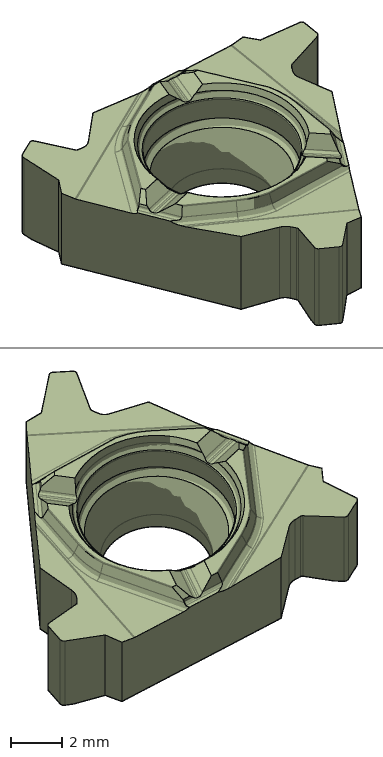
import cadquery as cq
import math

TOOTH_COUNT = 3
TOOTH_PITCH = 360 / TOOTH_COUNT
TOOTH_ANGLES = [index * TOOTH_PITCH for index in range(TOOTH_COUNT)]
NEXT_SIDE_ANGLE = 180 - TOOTH_PITCH
OVERALL_HEIGHT = 4.1

SIDE_DISTANCE = 4.76
TOOTH_X = -3.16
TIP_Y = 6.98
ROOT_Y = 5.23
TIP_HALF_WIDTH = 0.52
FLANK_ANGLE = 14.5
TIP_ROUND = 0.16
ROOT_ROUND = 0.11
SHOULDER_ANGLE = 30
VALLEY_RUN = 0.55
VALLEY_ROUND = 0.57
VALLEY_ANGLE = 15

FLOOR_Z = 3.52
CREASE_Y = 4.28
RAKE_ANGLE = 10.8
CREASE_ROUND = 0.2
RELIEF_LENGTH = 0.49
RELIEF_ANGLE = 11

BOSS_FRONT = 3.68
BOSS_BACK = 3.63
BOSS_BACK_ANGLE = 121.2
BOSS_TAPER = 27.5
BOSS_FOOT_ROUND = 0.33
BOSS_EDGE_ROUND = 0.04

NOTCH_WALL = 4.25
NOTCH_FLOOR_Z = 3.61
NOTCH_ROUND = 0.16
NOTCH_START_Y = -0.27
NOTCH_END_Y = 1.75

BEVEL_START_X = -3.87
BEVEL_ANGLE = 30
BEVEL_START_Y = 1.23
BEVEL_WIDTH = 1.09
BEVEL_LENGTH = 0.68

GROOVE_ANGLE = 166.2
GROOVE_HALF_WIDTH = 0.72
GROOVE_FLOOR_HALF_WIDTH = 0.14
GROOVE_FLOOR_Z = 3.63
GROOVE_ROUND = 0.27
GROOVE_START = 2.05
GROOVE_END = 6.13

BORE_RADIUS = 4.4 / 2
BORE_TOP_Z = 0.75
SEAT_RADIUS = 2.82
SEAT_TOP_Z = 2.35
RECESS_RADIUS = 3.08
RECESS_BOTTOM_Z = 2.6
RECESS_ROUND = 0.41
LEDGE_Z = 3.6
LEDGE_EDGE_ROUND = 0.04
LEDGE_ROUND = 0.34
LIP_FOOT_RADIUS = 3.3
LIP_FOOT_Z = 3.85
LIP_RADIUS = 3.43

REACH = 9.54
BOSS_REACH = 6.13
MARGIN = 0.27
THIN = 0.01


def direction(angle):
    """Unit vector in the XY plane at an angle in degrees."""
    return cq.Vector(math.cos(math.radians(angle)), math.sin(math.radians(angle)))


def tan_deg(angle):
    return math.tan(math.radians(angle))


def turned(points, angle):
    """Points turned about the Z axis."""
    along = direction(angle)
    across = direction(angle + 90)
    return [along * p.x + across * p.y for p in points]


def wall_corner(distance_a, angle_a, distance_b, angle_b):
    """Meeting point of two walls, each given by its distance and facing direction."""
    a = direction(angle_a)
    b = direction(angle_b)
    cross = a.x * b.y - a.y * b.x
    return cq.Vector(
        (distance_a * b.y - distance_b * a.y) / cross,
        (distance_b * a.x - distance_a * b.x) / cross,
    )


def around_axis(shape):
    """The same shape once at every tooth."""
    copies = shape
    for angle in TOOTH_ANGLES[1:]:
        copies = copies.union(shape.rotate((0, 0, 0), (0, 0, 1), angle))
    return copies


def tooth_outline():
    """Corner points of one tooth, from the left side over the tip to the next side."""
    root_half_width = TIP_HALF_WIDTH + (TIP_Y - ROOT_Y) * tan_deg(FLANK_ANGLE)
    left_root = cq.Vector(TOOTH_X - root_half_width, ROOT_Y)
    right_root = cq.Vector(TOOTH_X + root_half_width, ROOT_Y)
    shoulder_drop = (left_root.x + SIDE_DISTANCE) * tan_deg(SHOULDER_ANGLE)
    valley = right_root + direction(-SHOULDER_ANGLE) * VALLEY_RUN
    slope_facing = 90 + VALLEY_ANGLE
    slope_distance = valley.dot(direction(slope_facing))
    return [
        cq.Vector(-SIDE_DISTANCE, ROOT_Y - shoulder_drop),
        left_root,
        cq.Vector(TOOTH_X - TIP_HALF_WIDTH, TIP_Y),
        cq.Vector(TOOTH_X + TIP_HALF_WIDTH, TIP_Y),
        right_root,
        valley,
        wall_corner(slope_distance, slope_facing, SIDE_DISTANCE, NEXT_SIDE_ANGLE),
    ]


def make_blank():
    """Full-height prism with the outline of the insert."""
    tooth = tooth_outline()
    outline = []
    for angle in reversed(TOOTH_ANGLES):
        outline += turned(tooth, angle)
    blank = cq.Workplane("XY").polyline([p.toTuple() for p in outline]).close().extrude(OVERALL_HEIGHT)
    _, _, tip_left, tip_right, root, valley, _ = tooth
    rounds = [
        (tip_left, TIP_ROUND),
        (tip_right, TIP_ROUND),
        (root, ROOT_ROUND),
        (valley, VALLEY_ROUND),
    ]
    for corner, radius in rounds:
        for angle in TOOTH_ANGLES:
            p = turned([corner], angle)[0]
            edge = cq.selectors.NearestToPointSelector((p.x, p.y, OVERALL_HEIGHT / 2))
            blank = blank.edges(edge).fillet(radius)
    return blank


def make_boss():
    """Tapered boss on a wide floor slab, with a rounded foot."""
    height = OVERALL_HEIGHT - FLOOR_Z
    spread = height * tan_deg(BOSS_TAPER)
    front = BOSS_FRONT + spread
    back = BOSS_BACK + spread
    arc_start_angle = BOSS_BACK_ANGLE - math.degrees(math.acos(back / front))
    sector = [
        direction(arc_start_angle) * front,
        direction((arc_start_angle + 90) / 2) * front,
        direction(90) * front,
        wall_corner(front, 90, back, BOSS_BACK_ANGLE - TOOTH_PITCH),
    ]
    sectors = [turned(sector, angle) for angle in reversed(TOOTH_ANGLES)]
    start = sectors[-1][-1]
    outline = cq.Workplane("XY", origin=(0, 0, FLOOR_Z)).moveTo(start.x, start.y)
    for points in sectors:
        arc_start, arc_middle, arc_end, corner = [(p.x, p.y) for p in points]
        outline = outline.lineTo(*arc_start).threePointArc(arc_middle, arc_end).lineTo(*corner)
    boss = outline.close().extrude(height, taper=BOSS_TAPER)
    boss = boss.faces(">Z").edges().fillet(BOSS_EDGE_ROUND)
    slab = cq.Workplane("XY").circle(REACH).extrude(FLOOR_Z)
    foot = cq.selectors.BoxSelector(
        (-BOSS_REACH, -BOSS_REACH, FLOOR_Z - THIN),
        (BOSS_REACH, BOSS_REACH, FLOOR_Z + THIN),
        boundingbox=True,
    )
    return slab.union(boss).edges(foot).fillet(BOSS_FOOT_ROUND)


def make_rake_wedge():
    """Wedge that lifts the top face from the crease to the tip of the +Y tooth."""
    blend = CREASE_ROUND * tan_deg(RAKE_ANGLE / 2)
    blend_rise = CREASE_ROUND * (1 - math.cos(math.radians(RAKE_ANGLE / 2)))
    blend_middle = CREASE_Y - blend + CREASE_ROUND * math.sin(math.radians(RAKE_ANGLE / 2))
    blend_end = CREASE_Y + blend * math.cos(math.radians(RAKE_ANGLE))
    blend_end_z = FLOOR_Z + blend * math.sin(math.radians(RAKE_ANGLE))
    outer_y = TIP_Y + MARGIN
    outer_z = FLOOR_Z + (outer_y - CREASE_Y) * tan_deg(RAKE_ANGLE)
    return (
        cq.Workplane("YZ", origin=(-SIDE_DISTANCE - MARGIN, 0, 0))
        .moveTo(CREASE_Y - blend, 0)
        .lineTo(CREASE_Y - blend, FLOOR_Z)
        .threePointArc((blend_middle, FLOOR_Z + blend_rise), (blend_end, blend_end_z))
        .lineTo(outer_y, outer_z)
        .lineTo(outer_y, 0)
        .close()
        .extrude(2 * SIDE_DISTANCE)
    )


def make_tip_relief():
    """Cutter that lifts the underside of the +Y tooth at its tip."""
    length = RELIEF_LENGTH + MARGIN
    return (
        cq.Workplane("YZ", origin=(-SIDE_DISTANCE, 0, 0))
        .moveTo(TIP_Y - RELIEF_LENGTH, 0)
        .line(length, 0)
        .line(0, length * tan_deg(RELIEF_ANGLE))
        .close()
        .extrude(SIDE_DISTANCE)
    )


def make_notch():
    """Cutter with a sloping wall that trims the boss corner next to the left side."""
    height = OVERALL_HEIGHT - NOTCH_FLOOR_Z
    middle_y = (NOTCH_START_Y + NOTCH_END_Y) / 2
    foot = NOTCH_WALL + height * tan_deg(BOSS_TAPER)
    return (
        cq.Workplane("XZ", origin=(0, NOTCH_END_Y, 0))
        .moveTo(-foot, NOTCH_FLOOR_Z)
        .lineTo(-NOTCH_WALL, OVERALL_HEIGHT)
        .lineTo(-REACH, OVERALL_HEIGHT)
        .lineTo(-REACH, NOTCH_FLOOR_Z)
        .close()
        .extrude(NOTCH_END_Y - NOTCH_START_Y)
        .edges(cq.selectors.NearestToPointSelector((-foot, middle_y, NOTCH_FLOOR_Z)))
        .fillet(NOTCH_ROUND)
    )


def make_tip_bevel():
    """Cutter that slopes down the boss tip from the groove towards the left side."""
    return (
        cq.Workplane("XZ", origin=(BEVEL_START_X, BEVEL_START_Y, OVERALL_HEIGHT))
        .lineTo(-BEVEL_LENGTH, 0)
        .lineTo(-BEVEL_LENGTH, -BEVEL_LENGTH * tan_deg(BEVEL_ANGLE))
        .close()
        .extrude(-BEVEL_WIDTH)
    )


def make_groove():
    """Groove with sloping sides and rounded floor corners, running outwards from the hole."""
    depth = OVERALL_HEIGHT - GROOVE_FLOOR_Z
    groove = (
        cq.Workplane("YZ", origin=(GROOVE_START, 0, GROOVE_FLOOR_Z))
        .moveTo(-GROOVE_FLOOR_HALF_WIDTH, 0)
        .lineTo(GROOVE_FLOOR_HALF_WIDTH, 0)
        .lineTo(GROOVE_HALF_WIDTH, depth)
        .lineTo(-GROOVE_HALF_WIDTH, depth)
        .close()
        .extrude(GROOVE_END - GROOVE_START)
        .edges("|X and <Z")
        .fillet(GROOVE_ROUND)
    )
    return groove.rotate((0, 0, 0), (0, 0, 1), GROOVE_ANGLE)


def make_hole():
    """Screw hole: bore, rounded seat, recess, ledge and flared lip."""
    seat_rise = SEAT_TOP_Z - BORE_TOP_Z
    seat_step = SEAT_RADIUS - BORE_RADIUS
    seat_curve = (seat_rise**2 + seat_step**2) / (2 * seat_step)
    half_sweep = math.asin(seat_rise / seat_curve) / 2
    seat_middle = (
        BORE_RADIUS + seat_curve * (1 - math.cos(half_sweep)),
        BORE_TOP_Z + seat_curve * math.sin(half_sweep),
    )
    return (
        cq.Workplane("XZ")
        .lineTo(BORE_RADIUS, 0)
        .lineTo(BORE_RADIUS, BORE_TOP_Z)
        .threePointArc(seat_middle, (SEAT_RADIUS, SEAT_TOP_Z))
        .radiusArc((RECESS_RADIUS, RECESS_BOTTOM_Z), -RECESS_ROUND)
        .lineTo(RECESS_RADIUS, LEDGE_Z - LEDGE_EDGE_ROUND)
        .radiusArc((RECESS_RADIUS + LEDGE_EDGE_ROUND, LEDGE_Z), LEDGE_EDGE_ROUND)
        .radiusArc((LIP_FOOT_RADIUS, LIP_FOOT_Z), -LEDGE_ROUND)
        .lineTo(LIP_RADIUS, OVERALL_HEIGHT)
        .lineTo(0, OVERALL_HEIGHT)
        .close()
        .revolve(360, (0, 0, 0), (0, 1, 0))
    )


top_form = make_boss().union(around_axis(make_rake_wedge()))
result = (
    make_blank()
    .intersect(top_form)
    .cut(around_axis(make_tip_relief()))
    .cut(around_axis(make_notch()))
    .cut(around_axis(make_tip_bevel()))
    .cut(around_axis(make_groove()))
    .cut(make_hole())
)